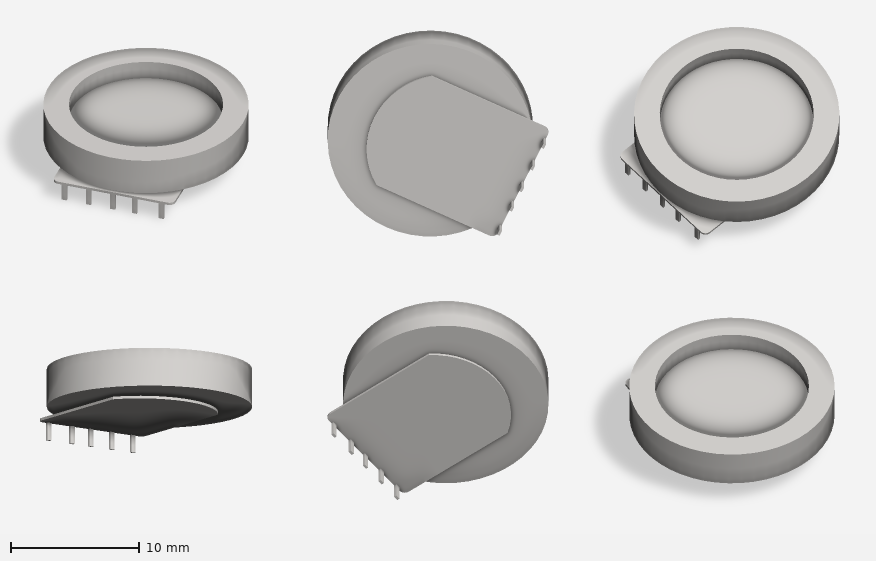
import cadquery as cq

outer_diameter = 16.0
total_height = 4.8

dish_height = 3.0
pocket_diameter = 12.0
pocket_depth = 1.5

gap_below_dish = 0.2
plate_thickness = 0.2
plate_width = 10.0
plate_offset_x = 0.03
side_end_y = 2.24
back_y = 4.83
corner_radius = 0.5
pin_width = 0.4
outer_pin_x = 4.0
left_pin_x = -outer_pin_x / 2
right_pin_x = 1.8
pin_positions = [-outer_pin_x, left_pin_x, 0, right_pin_x, outer_pin_x]

dish_bottom = total_height - dish_height
plate_top = dish_bottom - gap_below_dish
plate_bottom = plate_top - plate_thickness
front_y = -outer_diameter / 2


def make_dish():
    """Round body with a flat-bottomed pocket open to the top."""
    body = cq.Workplane("XY").workplane(offset=dish_bottom).circle(outer_diameter / 2).extrude(dish_height)
    pocket = (
        cq.Workplane("XY")
        .workplane(offset=total_height - pocket_depth)
        .circle(pocket_diameter / 2)
        .extrude(pocket_depth)
    )
    return body.cut(pocket)


def make_plate():
    """Flat plate with an arched back edge and rounded front corners."""
    half_width = plate_width / 2
    return (
        cq.Workplane("XY")
        .workplane(offset=plate_bottom)
        .moveTo(-half_width, front_y)
        .lineTo(half_width, front_y)
        .lineTo(half_width, side_end_y)
        .threePointArc((0, back_y), (-half_width, side_end_y))
        .close()
        .extrude(plate_thickness)
        .edges("|Z and <Y")
        .fillet(corner_radius)
    )


def make_pin(x):
    """Flat pin as thick as the plate, flush with its front edge and reaching its top."""
    return (
        cq.Workplane("XY")
        .center(x, front_y + plate_thickness / 2)
        .rect(pin_width, plate_thickness)
        .extrude(plate_top)
    )


def make_lead_plate():
    """Plate and its bent-down pins, in one piece."""
    body = make_plate()
    for x in pin_positions:
        body = body.union(make_pin(x))
    return body


dish = make_dish()
lead_plate = make_lead_plate().translate((plate_offset_x, 0, 0))

result = cq.Compound.makeCompound([dish.val(), lead_plate.val()])